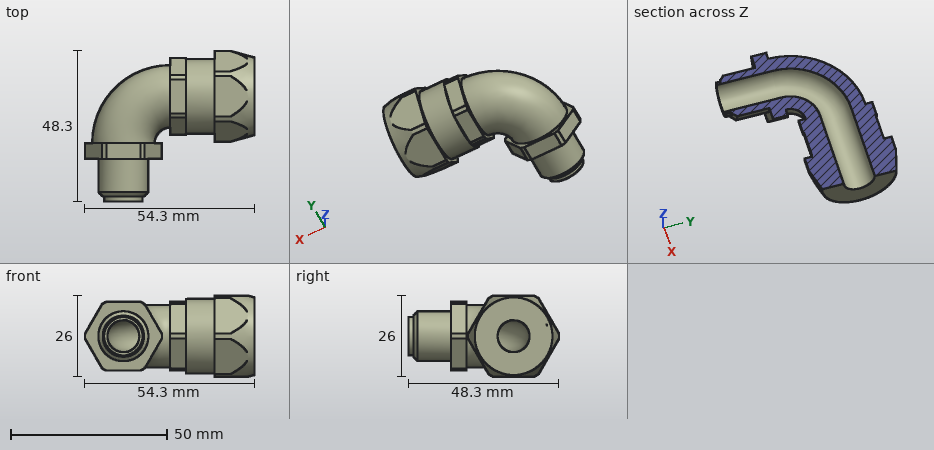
import cadquery as cq
import math

bend_radius = 15.0
tube_diameter = 20.1
bore_diameter = 10.2

collar_flats = 22.1
collar_corners = 24.65
collar_length = 5.05

spigot_diameter = 16.0
spigot_length = 12.05
spigot_chamfer = 1.4
tip_diameter = 12.3
tip_length = 1.6

body_diameter = 24.0
body_length = 9.1
nut_flats = 26.0
nut_corners = 29.1
nut_length = 12.8
nut_taper_length = 7.7
nut_end_diameter = 24.85

inlet_plane = cq.Plane(origin=(0, -bend_radius, 0), xDir=(1, 0, 0), normal=(0, -1, 0))
outlet_plane = cq.Plane(origin=(bend_radius, 0, 0), xDir=(0, 1, 0), normal=(1, 0, 0))


def disc(plane, start, diameter, length):
    """Cylinder on a leg, starting at the given distance past the bend."""
    return cq.Workplane(plane).workplane(offset=start).circle(diameter / 2).extrude(length)


def hexagon(plane, start, flats, length):
    """Sharp-cornered hexagonal prism on a leg."""
    return (
        cq.Workplane(plane)
        .workplane(offset=start)
        .polygon(6, flats / math.cos(math.pi / 6))
        .extrude(length)
    )


def bend(diameter):
    """Quarter-turn round bar joining the two legs."""
    return (
        cq.Workplane(inlet_plane)
        .circle(diameter / 2)
        .revolve(90, (bend_radius, 0), (bend_radius, -1))
    )


def collar(plane):
    """Hexagonal collar with its corners turned to a cylinder."""
    turned = disc(plane, 0, collar_corners, collar_length)
    return hexagon(plane, 0, collar_flats, collar_length).intersect(turned)


def spigot():
    """Chamfered inlet spigot with a smaller tip."""
    barrel = disc(inlet_plane, collar_length, spigot_diameter, spigot_length)
    barrel = barrel.faces("<Y").chamfer(spigot_chamfer)
    tip = disc(inlet_plane, collar_length + spigot_length, tip_diameter, tip_length)
    return barrel.union(tip)


def nut(start):
    """Hexagonal nut with turned corners and a conical outer end."""
    straight_length = nut_length - nut_taper_length
    turned = (
        disc(outlet_plane, start, nut_corners, straight_length)
        .faces(">X")
        .workplane()
        .circle(nut_corners / 2)
        .workplane(offset=nut_taper_length)
        .circle(nut_end_diameter / 2)
        .loft(ruled=True)
    )
    return hexagon(outlet_plane, start, nut_flats, nut_length).intersect(turned)


inlet_length = collar_length + spigot_length + tip_length
nut_start = collar_length + body_length
outlet_length = nut_start + nut_length

outside = (
    bend(tube_diameter)
    .union(collar(inlet_plane))
    .union(spigot())
    .union(collar(outlet_plane))
    .union(disc(outlet_plane, collar_length, body_diameter, body_length))
    .union(nut(nut_start))
)

bore = (
    bend(bore_diameter)
    .union(disc(inlet_plane, 0, bore_diameter, inlet_length))
    .union(disc(outlet_plane, 0, bore_diameter, outlet_length))
)

result = outside.cut(bore)